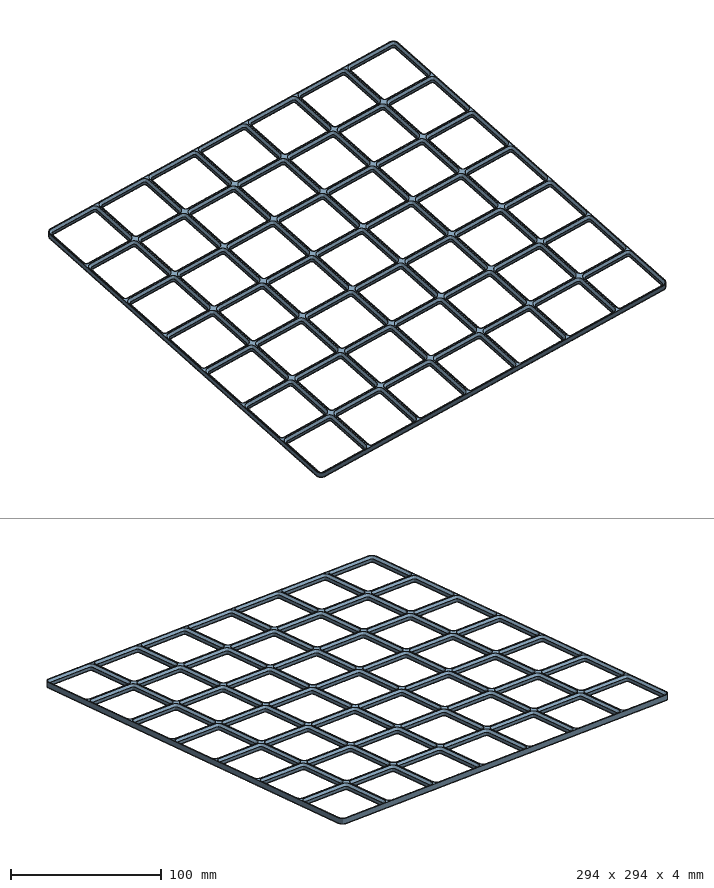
import cadquery as cq

outer_side = 294.0
cells_per_side = 7
plate_height = 4.0
ridge_width = 1.0
flare_depth = 1.65
throat_corner_radius = 1.85

cell_pitch = outer_side / cells_per_side
mouth_side = cell_pitch - ridge_width
throat_side = mouth_side - 2 * flare_depth
mouth_corner_radius = throat_corner_radius + flare_depth

outer_corner_radius = mouth_corner_radius + ridge_width / 2


def rounded_square(side, corner_radius):
    return cq.Sketch().rect(side, side).vertices().fillet(corner_radius)


def make_blank():
    outline = rounded_square(outer_side, outer_corner_radius)
    return cq.Workplane("XY").placeSketch(outline).extrude(plate_height)


def make_cell_cutter():
    throat_outline = rounded_square(throat_side, throat_corner_radius)
    mouth_outline = rounded_square(mouth_side, mouth_corner_radius)
    raise_to_mouth = cq.Location(cq.Vector(0, 0, flare_depth))
    throat = cq.Workplane("XY").placeSketch(throat_outline).extrude(plate_height)
    flare = (
        cq.Workplane("XY")
        .workplane(offset=plate_height - flare_depth)
        .placeSketch(throat_outline, mouth_outline.moved(raise_to_mouth))
        .loft()
    )
    return throat.union(flare).val()


def make_cell_grid():
    cutter = make_cell_cutter()
    return (
        cq.Workplane("XY")
        .rarray(cell_pitch, cell_pitch, cells_per_side, cells_per_side)
        .eachpoint(lambda location: cutter.moved(location))
    )


result = make_blank().cut(make_cell_grid())